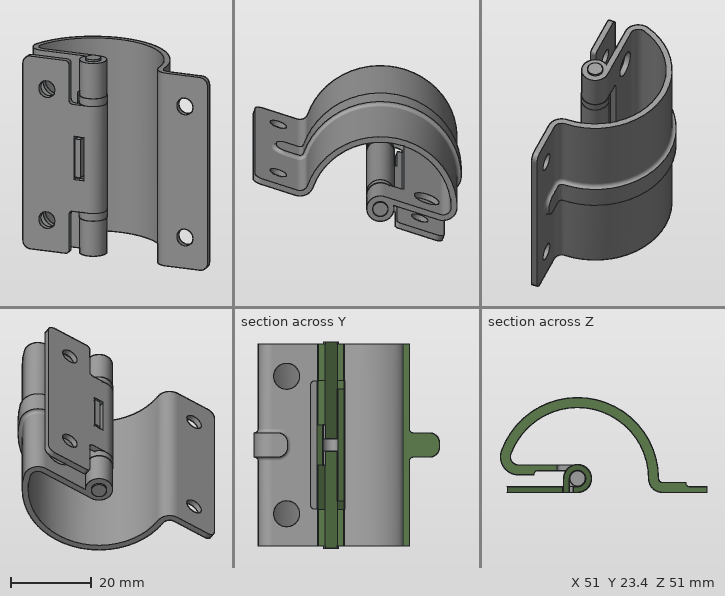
import cadquery as cq
import math


overall_length = 51.05
strap_height = 50.0
pin_span = 51.0
sheet = 1.5
corner_radius = 2.05

pin_radius = 1.9
pin_gap = 3.05
leaf_roll_radius = 3.45
leaf_bore_radius = leaf_roll_radius - sheet
strap_roll_radius = pin_radius + sheet
leaf_roll_height = 27.75
collar_thickness = 2.0
strap_gap = leaf_roll_height + 2 * collar_thickness

dome_radius = 19.0
plate_front = -leaf_roll_radius
plate_back = plate_front + sheet
flange_bend_radius = -plate_back
corner_bend_radius = 3.45
rib_height = 1.0
rib_width = 6.0
rib_base_fillet = 0.9
rib_end_radius = 2.5
rib_web_end = -10.7
rib_flange_end = 26.8
flange_bend_x = dome_radius + flange_bend_radius
corner_bend_y = pin_radius + corner_bend_radius
corner_bend_x = -math.sqrt((dome_radius - corner_bend_radius) ** 2 - corner_bend_y ** 2)
strap_right = corner_bend_x - corner_bend_radius - rib_height + overall_length

hole_spacing = 33.95
hole_radius = 2.15
access_hole_radius = 3.2
leaf_hole_x = -11.0
flange_hole_x = 25.95

leaf_left = -17.4
notch_x = -5.05
notch_radius = collar_thickness / 2
tab_width = 9.95
lip_drop = 0.4
slot_height = 11.2
slot_left = -3.7
slot_right = -1.05


def box(x_range, y_range, height):
    """Block between two X and two Y limits, centred on Z = 0."""
    (x0, x1), (y0, y1) = x_range, y_range
    return (
        cq.Workplane("XY")
        .box(x1 - x0, y1 - y0, height, centered=(False, False, True))
        .translate((x0, y0, 0))
    )


def cylinder(radius, z_start, z_end):
    """Cylinder on the hinge axis."""
    return cq.Workplane("XY").workplane(offset=z_start).circle(radius).extrude(z_end - z_start)


def hole_pair(x, y_range, radius):
    """Two holes along Y, above and below Z = 0."""
    y0, y1 = y_range
    return (
        cq.Workplane("XZ", origin=(0, y0, 0))
        .pushPoints([(x, hole_spacing / 2), (x, -hole_spacing / 2)])
        .circle(radius)
        .extrude(y0 - y1)
    )


def near_x(x):
    """Selector for edges whose center lies within a small distance of a given X."""
    reach = sheet / 10
    return cq.selectors.BoxSelector(
        (x - reach, -overall_length, -overall_length), (x + reach, overall_length, overall_length)
    )


def arc_point(center, radius, angle):
    """Point on a circle at an angle in radians."""
    return (center[0] + radius * math.cos(angle), center[1] + radius * math.sin(angle))


def strap_band(outer, inner, web_end, flange_end, height):
    """Bent band between two offsets from the outer strap surface, from web to flange."""
    flange_center = (flange_bend_x, 0)
    corner_center = (corner_bend_x, corner_bend_y)
    tangent_angle = math.atan2(corner_bend_y, corner_bend_x)
    corner_middle = (tangent_angle + 1.5 * math.pi) / 2

    def flange_middle(offset):
        return arc_point(flange_center, flange_bend_radius - offset, math.radians(225))

    def dome_point(offset, angle):
        return arc_point((0, 0), dome_radius + offset, angle)

    def corner_point(offset, angle):
        return arc_point(corner_center, corner_bend_radius + offset, angle)

    return (
        cq.Workplane("XY")
        .workplane(offset=-height / 2)
        .moveTo(flange_end, plate_back + outer)
        .lineTo(flange_bend_x, plate_back + outer)
        .threePointArc(flange_middle(outer), dome_point(outer, 0))
        .threePointArc(dome_point(outer, tangent_angle / 2), dome_point(outer, tangent_angle))
        .threePointArc(corner_point(outer, corner_middle), (corner_bend_x, pin_radius - outer))
        .lineTo(web_end, pin_radius - outer)
        .lineTo(web_end, pin_radius - inner)
        .lineTo(corner_bend_x, pin_radius - inner)
        .threePointArc(corner_point(inner, corner_middle), corner_point(inner, tangent_angle))
        .threePointArc(dome_point(inner, tangent_angle / 2), dome_point(inner, 0))
        .threePointArc(flange_middle(inner), (flange_bend_x, plate_back + inner))
        .lineTo(flange_end, plate_back + inner)
        .close()
        .extrude(height)
    )


def find_rib_foot(strap):
    """Edges where the rib walls rise from the outer strap surface."""
    margin = rib_height / 4
    foot_zone = strap_band(
        margin, -margin, rib_web_end + margin, rib_flange_end + margin, rib_width + margin
    ).val()
    return [edge for edge in strap.edges().vals() if foot_zone.isInside(edge.positionAt(0.5))]


def make_strap():
    strap = strap_band(0, -sheet, 0, strap_right, strap_height)
    strap = strap.edges("|Y and >X").fillet(corner_radius)

    rib = strap_band(rib_height, 0, rib_web_end, rib_flange_end, rib_width)
    rib = rib.edges("|Y and >X").fillet(rib_end_radius)
    rib = rib.edges("|Y").edges(near_x(rib_web_end)).fillet(rib_end_radius)
    strap = strap.union(rib)
    strap = strap.newObject(find_rib_foot(strap)).fillet(rib_base_fillet)

    roll = cylinder(strap_roll_radius, -strap_height / 2, strap_height / 2)
    strap = strap.union(roll).cut(cylinder(pin_radius, -strap_height / 2, strap_height / 2))
    cutout = box((notch_x, strap_roll_radius), (-strap_roll_radius, strap_roll_radius), strap_gap)
    strap = strap.cut(cutout.edges("|Y and <X").fillet(notch_radius))

    strap = strap.cut(hole_pair(flange_hole_x, (plate_front, plate_back), hole_radius))
    return strap.cut(hole_pair(leaf_hole_x, (pin_radius, strap_roll_radius), access_hole_radius))


def make_leaf():
    plate_y = (plate_front, plate_back)

    plate = box((leaf_left, notch_x), plate_y, strap_height)
    plate = plate.union(box((notch_x, 0), plate_y, leaf_roll_height))
    plate = plate.edges("|Y and <X").fillet(corner_radius)
    plate = plate.edges("|Y").edges(near_x(notch_x)).fillet(notch_radius)
    plate = plate.cut(hole_pair(leaf_hole_x, plate_y, hole_radius))
    plate = plate.cut(box((slot_left, slot_right), plate_y, slot_height))

    half_roll = leaf_roll_height / 2
    roll = cylinder(leaf_roll_radius, -half_roll, half_roll)
    roll = roll.cut(box((-leaf_roll_radius, 0), (-leaf_roll_radius, 0), leaf_roll_height))
    roll = roll.cut(cylinder(leaf_bore_radius, -half_roll, half_roll))
    wall_x = (-leaf_roll_radius, -leaf_bore_radius)
    lip = box(wall_x, (-lip_drop, 0), leaf_roll_height)
    tab = box(wall_x, (plate_front, 0), tab_width)
    return plate.union(roll).union(lip).union(tab)


def make_collar(side):
    """Spacer beside the leaf roll, with a key that fills the gap between leaf lip and plate."""
    inner_z = side * leaf_roll_height / 2
    outer_z = side * strap_gap / 2
    tab_z = side * tab_width / 2
    flange = cylinder(leaf_roll_radius, inner_z, outer_z)
    key_space = box((-leaf_roll_radius, 0), (plate_back, -lip_drop), leaf_roll_height)
    key = cylinder(leaf_roll_radius, tab_z, inner_z).intersect(key_space)
    return flange.union(key).cut(cylinder(pin_radius, tab_z, outer_z))


def make_pin(side):
    return cylinder(pin_radius, side * pin_gap / 2, side * pin_span / 2)


strap = make_strap()
leaf = make_leaf()
collars = [make_collar(side) for side in (-1, 1)]
pins = [make_pin(side) for side in (-1, 1)]

result = cq.Compound.makeCompound(
    [strap.val(), leaf.val(), *[collar.val() for collar in collars], *[pin.val() for pin in pins]]
)